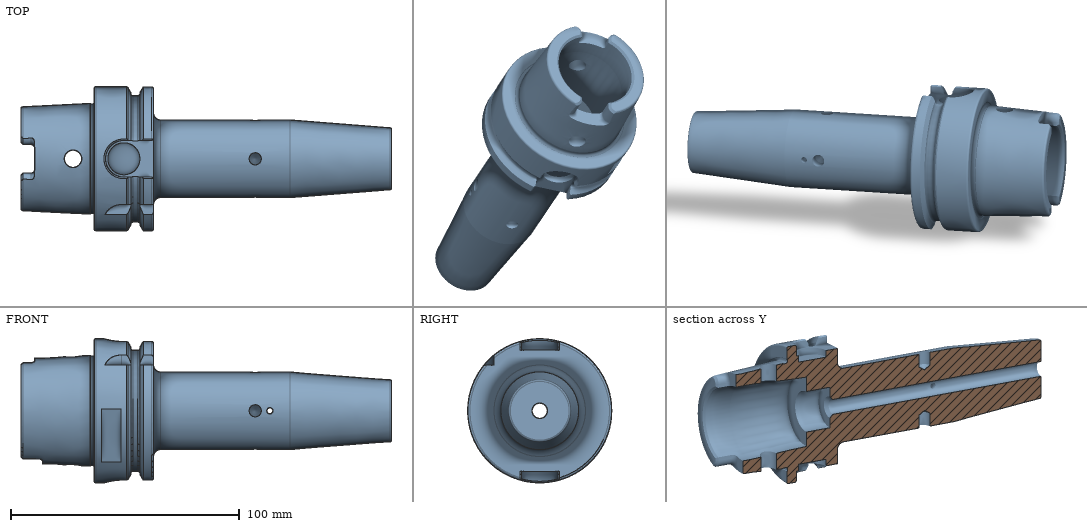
import cadquery as cq
import math


shank_length = 32.0
shank_front_radius = 22.7
taper_ratio = 1 / 20
shank_edge_radius = 1.0
relief_start = -1.8
relief_depth = 0.25
relief_corner_fillet = 0.8
relief_face_radius = 25.7

flange_radius = 31.5
flange_width = 26.0
flange_front_rounding = 0.8
flange_rear_rounding = 1.0
groove_center = 18.05
groove_mouth_width = 6.9
groove_floor_radius = 27.6
groove_floor_width = 4.0
groove_floor_fillet = 1.0
groove_wall_angle = 30.0
groove_edge_chamfer = 0.4

total_length = 162.0
body_radius = 17.0
neck_fillet = 3.0
nose_radius = 13.5
nose_angle = 4.5
nose_rounding = 0.7

bore_mouth_radius = 18.0
bore_mouth_chamfer = 0.9
bore_radius = bore_mouth_radius - bore_mouth_chamfer
bore_straight_length = 13.3
bore_floor_radius = 15.8
bore_depth = 42.0
tube_bore_radius = 9.2
tube_bore_depth = 12.0
channel_radius = 3.3
channel_chamfer = 1.5

drive_slot_half_width = 6.2
drive_slot_depths = {0: 6.0, 180: 9.5}
drive_slot_corner_radius = 3.5
drive_slot_corner_height = 17.6
drive_slot_floor_fillet = 1.5
drive_slot_mouth_chamfer = 1.0

access_hole_diameter = 7.5
access_hole_x = -9.2

keyway_radius = 8.0
keyway_center_x = 13.0
keyway_floor = 26.5
keyway_edge_chamfer = 0.7
keyway_pocket_radius = 7.0
keyway_pocket_depth = 3.0

notch_wall = 20.0
notch_cutter_radius = 8.0
notch_tangent_x = 11.9

recess_start = 3.3
recess_width = 8.4
recess_chord = 24.8
recess_angle = 21.9

screw_hole_x = 70.4
screw_hole_diameter = 5.3
screw_hole_depth = 6.0
drill_point_angle = 118.0
cross_hole_x = 76.8
cross_hole_diameter = 2.6

overcut = 5.0
shank_end = -shank_length
body_end = total_length - shank_length


def outer_solid():
    """Revolve the outside of shank, plain flange, neck, body and nose."""
    relief_radius = shank_front_radius + taper_ratio * (relief_start - shank_end)
    floor_radius = relief_radius - relief_depth
    nose_start = body_end - (body_radius - nose_radius) / math.tan(math.radians(nose_angle))
    fillet_middle = neck_fillet * (1 - math.sqrt(0.5))
    outline = (
        cq.Workplane("XY")
        .moveTo(shank_end, 0)
        .lineTo(shank_end, shank_front_radius)
        .lineTo(relief_start, relief_radius)
        .lineTo(relief_start + relief_depth, floor_radius)
        .lineTo(relief_depth - relief_corner_fillet, floor_radius)
        .radiusArc((relief_depth, floor_radius + relief_corner_fillet), -relief_corner_fillet)
        .lineTo(relief_depth, relief_face_radius - relief_depth)
        .lineTo(0, relief_face_radius)
        .lineTo(0, flange_radius - flange_front_rounding)
        .radiusArc((flange_front_rounding, flange_radius), flange_front_rounding)
        .lineTo(flange_width - flange_rear_rounding, flange_radius)
        .radiusArc((flange_width, flange_radius - flange_rear_rounding), flange_rear_rounding)
        .lineTo(flange_width, body_radius + neck_fillet)
        .threePointArc(
            (flange_width + fillet_middle, body_radius + fillet_middle),
            (flange_width + neck_fillet, body_radius),
        )
        .lineTo(nose_start, body_radius)
        .lineTo(body_end, nose_radius)
        .lineTo(body_end, 0)
        .close()
    )
    solid = outline.revolve(360, (0, 0, 0), (1, 0, 0))
    solid = solid.faces("<X").edges().fillet(shank_edge_radius)
    return solid.faces(">X").edges().fillet(nose_rounding)


def gripper_groove():
    """Ring-shaped cutter: sloped upper walls over a straight slot with a rounded floor."""
    wall_slope = math.tan(math.radians(groove_wall_angle))
    half_mouth = groove_mouth_width / 2
    half_floor = groove_floor_width / 2
    step_radius = flange_radius - (half_mouth - half_floor) / wall_slope
    chamfer_end = half_mouth - groove_edge_chamfer * wall_slope
    rim = flange_radius + overcut
    ring = (
        cq.Workplane("XY", origin=(groove_center, 0, 0))
        .moveTo(-half_mouth - groove_edge_chamfer, rim)
        .lineTo(-half_mouth - groove_edge_chamfer, flange_radius)
        .lineTo(-chamfer_end, flange_radius - groove_edge_chamfer)
        .lineTo(-half_floor, step_radius)
        .lineTo(-half_floor, groove_floor_radius)
        .lineTo(half_floor, groove_floor_radius)
        .lineTo(half_floor, step_radius)
        .lineTo(half_mouth, flange_radius)
        .lineTo(half_mouth, rim)
        .close()
        .revolve(360, (0, 0, 0), (1, 0, 0))
    )
    floor_edges = ring.edges(cq.selectors.RadiusNthSelector(0))
    return floor_edges.fillet(groove_floor_fillet)


def axial_bore():
    """Stepped bore running through the whole part."""
    floor_x = shank_end + bore_depth
    tube_floor_x = floor_x + tube_bore_depth
    return (
        cq.Workplane("XY")
        .moveTo(shank_end, 0)
        .lineTo(shank_end, bore_mouth_radius)
        .lineTo(shank_end + bore_mouth_chamfer, bore_radius)
        .lineTo(shank_end + bore_straight_length, bore_radius)
        .lineTo(floor_x, bore_floor_radius)
        .lineTo(floor_x, tube_bore_radius)
        .lineTo(tube_floor_x, tube_bore_radius)
        .lineTo(tube_floor_x, channel_radius + channel_chamfer)
        .lineTo(tube_floor_x + channel_chamfer, channel_radius)
        .lineTo(body_end, channel_radius)
        .lineTo(body_end, 0)
        .close()
        .revolve(360, (0, 0, 0), (1, 0, 0))
    )


def drive_slot_outline(x, grow=0.0):
    """Slot outline at a given x, widened by `grow`, flaring outward with round corners."""
    half_width = drive_slot_half_width + grow
    radius = drive_slot_corner_radius - grow
    height = drive_slot_corner_height
    flare = half_width + radius
    bend = radius * math.sqrt(0.5)
    top = flange_radius
    return (
        cq.Workplane("YZ", origin=(x, 0, 0))
        .moveTo(-half_width, 0)
        .lineTo(-half_width, height)
        .threePointArc((-flare + bend, height + bend), (-flare, height + radius))
        .lineTo(-flare, top)
        .lineTo(flare, top)
        .lineTo(flare, height + radius)
        .threePointArc((flare - bend, height + bend), (half_width, height))
        .lineTo(half_width, 0)
        .close()
    )


def drive_slot(depth):
    """Slot cutter with a rounded floor edge and a chamfered mouth."""
    slot = drive_slot_outline(shank_end).extrude(depth)
    slot = slot.faces(">X").edges("not(<Z)").edges("not(>Z)").fillet(drive_slot_floor_fillet)
    wide = drive_slot_outline(shank_end, drive_slot_mouth_chamfer).wires().val()
    narrow = drive_slot_outline(shank_end + drive_slot_mouth_chamfer).wires().val()
    mouth = cq.Solid.makeLoft([wide, narrow], True)
    return slot.union(cq.Workplane(obj=mouth))


def keyway():
    """Round-ended keyway on top of the flange with a circular pocket in its floor."""
    plane = cq.Workplane("XY", origin=(keyway_center_x, 0, keyway_floor))
    height = flange_radius
    run_out = flange_width - keyway_center_x
    pocket = plane.circle(keyway_pocket_radius).extrude(-keyway_pocket_depth)
    slot = (
        plane.moveTo(run_out, keyway_radius)
        .lineTo(0, keyway_radius)
        .threePointArc((-keyway_radius, 0), (0, -keyway_radius))
        .lineTo(run_out, -keyway_radius)
        .close()
        .extrude(height)
    )
    return slot.union(pocket)


def break_keyway_rim(solid):
    """Chamfer the rim of the keyway that is in the +Z position."""
    margin = keyway_edge_chamfer
    rim_low = math.sqrt(flange_radius**2 - keyway_radius**2)
    rim_box = cq.selectors.BoxSelector(
        (keyway_center_x - keyway_radius - margin, -keyway_radius - margin, rim_low - margin),
        (flange_width - flange_rear_rounding, keyway_radius + margin, flange_radius + margin),
    )
    return solid.edges(rim_box).chamfer(keyway_edge_chamfer)


def orientation_notch():
    """Corner notch on the -Y/+Z rim, ended by the round of the milling cutter."""
    plane = cq.Workplane("XY", origin=(0, 0, notch_wall))
    radius = notch_cutter_radius
    bend = radius * math.sqrt(0.5)
    outer = -notch_wall - radius
    return (
        plane.moveTo(flange_width, -notch_wall)
        .lineTo(notch_tangent_x, -notch_wall)
        .threePointArc((notch_tangent_x - bend, outer + bend), (notch_tangent_x - radius, outer))
        .lineTo(flange_width, outer)
        .close()
        .extrude(flange_radius)
    )


def flat_recess():
    """Flat milled into the rim, tilted below the -Y direction."""
    floor = math.sqrt(flange_radius**2 - (recess_chord / 2) ** 2)
    block = cq.Workplane("XY").box(recess_width, overcut, recess_chord + overcut)
    block = block.translate((recess_start + recess_width / 2, -floor - overcut / 2, 0))
    return block.rotate((0, 0, 0), (1, 0, 0), recess_angle)


def screw_hole():
    """Blind radial hole with a drill point, entering from +Z."""
    radius = screw_hole_diameter / 2
    floor = body_radius - screw_hole_depth
    tip = floor - radius / math.tan(math.radians(drill_point_angle / 2))
    return (
        cq.Workplane("XZ")
        .moveTo(0, tip)
        .lineTo(radius, floor)
        .lineTo(radius, body_radius + overcut)
        .lineTo(0, body_radius + overcut)
        .close()
        .revolve(360, (0, 0, 0), (0, 1, 0))
        .translate((screw_hole_x, 0, 0))
    )


def turned(shape, angle):
    """Turn a shape about the rotation axis."""
    return shape.rotate((0, 0, 0), (1, 0, 0), angle)


def through_hole(plane_name, x, diameter):
    """Cylinder across the whole part at the given x."""
    return (
        cq.Workplane(plane_name, origin=(x, 0, 0))
        .circle(diameter / 2)
        .extrude(flange_radius, both=True)
    )


result = outer_solid().cut(axial_bore())

for angle, depth in drive_slot_depths.items():
    result = result.cut(turned(drive_slot(depth), angle))

for angle in (0, 180):
    result = turned(result, angle).cut(keyway())
    result = turned(break_keyway_rim(result), -angle)

result = result.cut(gripper_groove())
result = result.cut(orientation_notch())
result = result.cut(flat_recess())
result = result.cut(through_hole("XY", access_hole_x, access_hole_diameter))

for angle in (0, 90, 180, 270):
    result = result.cut(turned(screw_hole(), angle))

result = result.cut(through_hole("XZ", cross_hole_x, cross_hole_diameter))